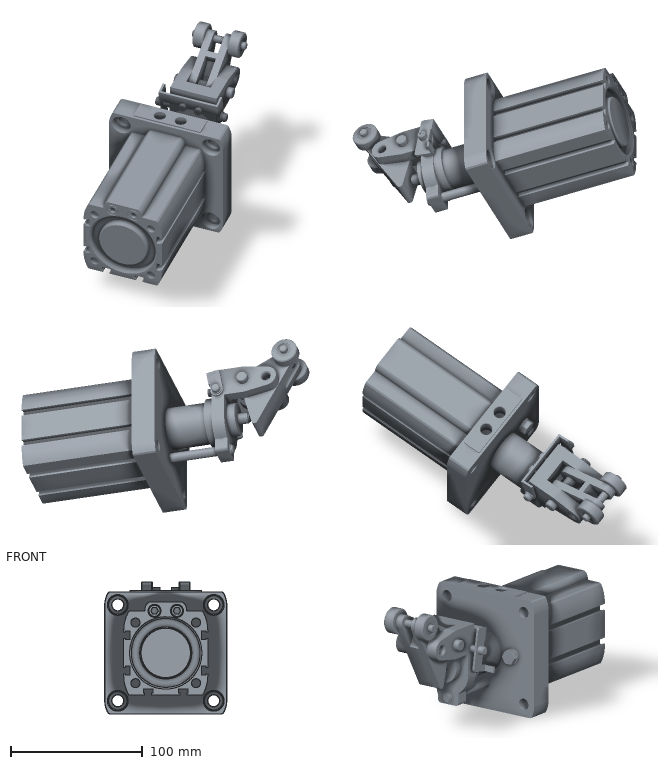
import cadquery as cq
import math


flange_half = 46.5
flange_thickness = 18.1
corner_edge_x = 42.6
corner_shoulder = (44.0, 45.5)
corner_arc_z = 36.9
corner_radius = 20.2
mount_pitch = 36.5
mount_hole_diameter = 9.0
mount_bore_diameter = 14.0
mount_bore_depth = 5.0
mount_bore_chamfer = 0.9
pad_half_width = 27.3
pad_height = 1.0
pad_edge = 2.0
port_x = 8.5
port_diameter = 9.0
port_depth = 12.8
port_chamfer = 0.5
drill_point_angle = 118

bolt_x = -26.0
bolt_washer_diameter = 12.0
bolt_washer_height = 1.7
bolt_across_flats = 10.0
bolt_head_height = 4.3

barrel_rear = -109.0
barrel_half = 32.0
barrel_arc_z = 17.0
barrel_corner_radius = 29.8
barrel_top_corner_x = 27.3
barrel_top_bevel = (28.5, 31.0)
barrel_bottom_corner_x = 28.1
hump_top = 38.8
hump_top_half = 12.4
hump_side_radius = 6.4
hump_base = (15.8, 32.8)
hump_foot_half = 16.6
hump_foot_radius = 0.9
slot_pitch = 13.5
slot_depth = 4.7
slot_lip = 1.5
side_slot_mouth = 5.0
side_slot_width = 6.5
bottom_slot_mouth = 5.5
bottom_slot_width = 7.2
tie_pitch = 23.0
tie_hole_diameter = 6.8
tie_hole_depth = 17.0
cover_radius = 26.2
cover_depth = 5.3
cover_chamfer = 1.3
cover_boss_base_radius = 19.8
cover_boss_radius = 19.5
cover_boss_chamfer = 0.9
plug_x = port_x
plug_z = 32.0
plug_diameter = 9.8
plug_head_diameter = 8.5
plug_groove_depth = 0.6
plug_socket_flats = 5.0
plug_socket_depth = 3.2

rod_radius = 16.0
collar_radius = 18.5
collar_start = 31.0
collar_end = 37.3
guide_z = -26.0
guide_radius = 3.6
guide_clip_radius = 4.0
guide_clip_end = 48.2
guide_tip_radius = 3.2
guide_tip_end = 49.5

fork_half_width = 19.0
fork_gap_half = 10.0
fork_back = 39.2
fork_gap_floor = 49.7
ear_radius = 11.3
ear_tip_radius = 8.0
ear_hole_y = 80.0
ear_hole_diameter = 6.8
ear_hole_chamfer = 0.9
block_front = 47.0
block_top = 26.6
block_arc_z = -5.0
foot_half_width = 9.5
foot_bottom = -31.5
foot_fillet = 2.5
foot_neck_fillet = 1.3
nose_radius = 12.5
nose_end = 53.5
stem_radius = 4.3
stem_end = 61.2
stem_tip_radius = 3.5
stem_tip_end = 62.5
knob_x = 6.4
knob_z = 23.0
knob_stem_radius = 1.3
knob_radius = 3.0
knob_head_start = 31.3
knob_head_end = 33.7

pivot = (62.0, 23.0)
axle = (94.2, 44.0)
lever_tip = (68.6, -9.8)
lever_half_width = fork_gap_half
axle_boss_radius = 6.0
hub_radius = 10.0
lever_tip_radius = 2.3
lever_waist_radius = 4.5
lever_slot_half = 4.3
lever_pin_diameter = 8.5
lever_pin_half_length = 23.7
axle_diameter = 6.0
axle_half_length = 21.7
pin_chamfer = 0.6
roller_radius = 10.0
roller_outer_x = 18.5
roller_chamfer = 0.6
roller_recess_radius = 6.0
roller_recess_depth = 0.5

bracket_pivot = (42.0, 15.1)
bracket_tilt = 10
sheet = 1.7
bracket_left = -26.5
bracket_right = 21.7
plate_front = 5.0
plate_back = -4.5
plate_top = 17.3
plate_bottom = -16.8
plate_corner = 2.0
web_outer = -5.3
web_bottom = 7.2
web_notch_width = 3.2
web_notch_depth = 5.1
tab_back = -10.7
tab_top = -12.1
tab_left = -34.5
screw_head_radius = 3.5
screw_head_chamfer = 0.9
screw_left_end = -31.3
screw_right_end = 26.2
screw_washer_radius = 4.0
screw_washer_thickness = 1.0
spacer_radius = 3.0
screw_cross_length = 4.0
screw_cross_width = 0.9
screw_cross_depth = 0.9


def box(x0, x1, y0, y1, z0, z1):
    return cq.Workplane("XY").box(x1 - x0, y1 - y0, z1 - z0, centered=False).translate((x0, y0, z0))


def cylinder_x(yz, radius, x0, x1):
    start = cq.Vector(x0, yz[0], yz[1])
    return cq.Workplane(cq.Solid.makeCylinder(radius, x1 - x0, start, cq.Vector(1, 0, 0)))


def cylinder_y(x, z, radius, y0, y1):
    start = cq.Vector(x, y0, z)
    return cq.Workplane(cq.Solid.makeCylinder(radius, y1 - y0, start, cq.Vector(0, 1, 0)))


def prism_x(outline, x0, x1):
    """Extrude a (y, z) polygon from x0 to x1."""
    return cq.Workplane("YZ", origin=(x0, 0, 0)).polyline(outline).close().extrude(x1 - x0)


def hexagon_y(x, z, across_flats, y0, y1):
    """A hexagonal prism along Y with two of its flats facing up and down."""
    across_corners = across_flats / math.cos(math.radians(30))
    plane = cq.Workplane("XZ", origin=(x, y0, z))
    return plane.polygon(6, across_corners).extrude(y0 - y1)


def belt(centre_a, radius_a, centre_b, radius_b, x0, x1):
    """A link along X: two circles in the YZ plane joined by their outer tangents."""
    dy = centre_b[0] - centre_a[0]
    dz = centre_b[1] - centre_a[1]
    axis = math.atan2(dz, dy)
    spread = math.acos((radius_a - radius_b) / math.hypot(dy, dz))

    def on_circle(centre, radius, angle):
        return (centre[0] + radius * math.cos(angle), centre[1] + radius * math.sin(angle))

    return (
        cq.Workplane("YZ", origin=(x0, 0, 0))
        .moveTo(*on_circle(centre_a, radius_a, axis + spread))
        .threePointArc(
            on_circle(centre_a, radius_a, axis + math.pi),
            on_circle(centre_a, radius_a, axis - spread),
        )
        .lineTo(*on_circle(centre_b, radius_b, axis - spread))
        .threePointArc(
            on_circle(centre_b, radius_b, axis),
            on_circle(centre_b, radius_b, axis + spread),
        )
        .close()
        .extrude(x1 - x0)
    )


def four_corners(pitch):
    return [(sx * pitch, sz * pitch) for sx in (-1, 1) for sz in (-1, 1)]


def flange_plate():
    shoulder_x, shoulder_z = corner_shoulder
    half_plate = (
        cq.Workplane("XZ")
        .moveTo(0, flange_half)
        .lineTo(corner_edge_x, flange_half)
        .lineTo(shoulder_x, shoulder_z)
        .radiusArc((flange_half, corner_arc_z), corner_radius)
        .lineTo(flange_half, -corner_arc_z)
        .radiusArc((shoulder_x, -shoulder_z), corner_radius)
        .lineTo(corner_edge_x, -flange_half)
        .lineTo(0, -flange_half)
        .close()
        .extrude(flange_thickness)
    )
    plate = half_plate.union(half_plate.mirror("YZ"))
    pad = box(
        -pad_half_width, pad_half_width,
        pad_edge - flange_thickness, -pad_edge,
        flange_half - pad_height, flange_half + pad_height,
    )
    return plate.union(pad)


def mounting_hole(x, z):
    bore_radius = mount_bore_diameter / 2
    hole = cylinder_y(x, z, mount_hole_diameter / 2, -flange_thickness, 0)
    bore = cylinder_y(x, z, bore_radius, -flange_thickness, mount_bore_depth - flange_thickness)
    mouth = cq.Workplane(
        cq.Solid.makeCone(
            bore_radius + mount_bore_chamfer, bore_radius, mount_bore_chamfer,
            cq.Vector(x, -flange_thickness, z), cq.Vector(0, 1, 0),
        )
    )
    return hole.union(bore).union(mouth)


def port(x):
    radius = port_diameter / 2
    top = flange_half + pad_height
    point = radius / math.tan(math.radians(drill_point_angle / 2))
    return (
        cq.Workplane("XZ")
        .polyline([
            (0, top),
            (radius + port_chamfer, top),
            (radius, top - port_chamfer),
            (radius, top - port_depth),
            (0, top - port_depth - point),
        ])
        .close()
        .revolve(360, (0, 0), (0, 1))
        .translate((x, -flange_thickness / 2, 0))
    )


def flange_bolt():
    washer = cylinder_y(bolt_x, 0, bolt_washer_diameter / 2, 0, bolt_washer_height)
    head_top = bolt_washer_height + bolt_head_height
    head = hexagon_y(bolt_x, 0, bolt_across_flats, bolt_washer_height, head_top)
    return washer.union(head)


def barrel_block():
    length = -barrel_rear - flange_thickness
    right_half = (
        cq.Workplane("XZ", origin=(0, -flange_thickness, 0))
        .moveTo(0, hump_top)
        .lineTo(hump_top_half, hump_top)
        .radiusArc(hump_base, hump_side_radius)
        .radiusArc((hump_foot_half, barrel_half), -hump_foot_radius)
        .lineTo(barrel_top_corner_x, barrel_half)
        .lineTo(*barrel_top_bevel)
        .radiusArc((barrel_half, barrel_arc_z), barrel_corner_radius)
        .lineTo(barrel_half, -barrel_arc_z)
        .radiusArc((barrel_bottom_corner_x, -barrel_half), barrel_corner_radius)
        .lineTo(0, -barrel_half)
        .close()
        .extrude(length)
    )
    return right_half.union(right_half.mirror("YZ"))


def barrel_slot(mouth, width, turn, offset):
    """A T-slot along the barrel, cut into the bottom face and then turned about the cylinder axis."""
    rear, front = barrel_rear, -flange_thickness
    lip_top = slot_lip - barrel_half
    slot = box(-mouth / 2, mouth / 2, rear, front, -barrel_half, lip_top)
    slot = slot.union(box(-width / 2, width / 2, rear, front, lip_top, slot_depth - barrel_half))
    return slot.translate((offset, 0, 0)).rotate((0, 0, 0), (0, 1, 0), turn)


def rear_cover_recess():
    """The ring-shaped recess in the rear end, around a boss that is flush with the end face."""
    step = barrel_rear + cover_depth
    return (
        cq.Workplane("XY")
        .polyline([
            (cover_boss_radius - cover_boss_chamfer, barrel_rear),
            (cover_radius + cover_chamfer, barrel_rear),
            (cover_radius, barrel_rear + cover_chamfer),
            (cover_radius, step),
            (cover_boss_base_radius, step),
            (cover_boss_radius, barrel_rear + cover_boss_chamfer),
        ])
        .close()
        .revolve(360, (0, 0), (0, 1))
    )


def plug_cut(x):
    """The ring groove around a plug head, and the hexagon socket in it."""
    groove_end = barrel_rear + plug_groove_depth
    groove = cylinder_y(x, plug_z, plug_diameter / 2, barrel_rear, groove_end)
    groove = groove.cut(cylinder_y(x, plug_z, plug_head_diameter / 2, barrel_rear, groove_end))
    socket_end = barrel_rear + plug_socket_depth
    return groove.union(hexagon_y(x, plug_z, plug_socket_flats, barrel_rear, socket_end))


def make_housing():
    housing = flange_plate().union(barrel_block()).union(flange_bolt())
    for x, z in four_corners(mount_pitch):
        housing = housing.cut(mounting_hole(x, z))
    for x, z in four_corners(tie_pitch):
        hole = cylinder_y(x, z, tie_hole_diameter / 2, barrel_rear, barrel_rear + tie_hole_depth)
        housing = housing.cut(hole)
    for offset in (-slot_pitch, slot_pitch):
        housing = housing.cut(barrel_slot(bottom_slot_mouth, bottom_slot_width, 0, offset))
        for turn in (-90, 90):
            housing = housing.cut(barrel_slot(side_slot_mouth, side_slot_width, turn, offset))
    housing = housing.cut(rear_cover_recess())
    for side in (-1, 1):
        housing = housing.cut(port(side * port_x)).cut(plug_cut(side * plug_x))
    housing = housing.cut(cylinder_y(0, 0, rod_radius, -flange_thickness, 0))
    return housing.cut(cylinder_y(0, guide_z, guide_radius, -flange_thickness, 0))


def fork():
    centre_z = pivot[1]
    ear = belt(pivot, ear_radius, (ear_hole_y, centre_z), ear_tip_radius, -fork_half_width, fork_half_width)
    body = ear.union(
        box(
            -fork_half_width, fork_half_width, fork_back, pivot[0],
            centre_z - ear_radius, centre_z + ear_radius,
        )
    )
    gap_end = ear_hole_y + ear_tip_radius
    gap = box(
        -fork_gap_half, fork_gap_half, fork_gap_floor, gap_end,
        centre_z - ear_radius, centre_z + ear_radius,
    )
    hole = cylinder_x((ear_hole_y, centre_z), ear_hole_diameter / 2, -fork_half_width, fork_half_width)
    pin_hole = cylinder_x(pivot, lever_pin_diameter / 2, -fork_half_width, fork_half_width)
    body = body.cut(gap)
    for side in (-1, 1):
        mouth = cq.Solid.makeCone(
            ear_hole_diameter / 2 + ear_hole_chamfer, ear_hole_diameter / 2, ear_hole_chamfer,
            cq.Vector(side * fork_half_width, ear_hole_y, centre_z), cq.Vector(-side, 0, 0),
        )
        body = body.cut(cq.Workplane(mouth))
    return body.cut(hole).cut(pin_hole)


def fork_block():
    """The cross plate behind the fork, with a round bottom and a foot for the guide rod."""
    plate = box(-fork_half_width, fork_half_width, collar_end, block_front, block_arc_z, block_top)
    plate = plate.union(cylinder_y(0, block_arc_z, fork_half_width, collar_end, block_front))
    foot = box(-foot_half_width, foot_half_width, collar_end, block_front, foot_bottom, block_arc_z)
    block = plate.union(foot.edges("|Y and <Z").fillet(foot_fillet))
    neck_z = block_arc_z - math.sqrt(fork_half_width ** 2 - foot_half_width ** 2)
    mid_y = (collar_end + block_front) / 2
    for x in (-foot_half_width, foot_half_width):
        block = block.edges(cq.NearestToPointSelector((x, mid_y, neck_z))).fillet(foot_neck_fillet)
    return block


def make_rod_unit():
    unit = cylinder_y(0, 0, rod_radius, -flange_thickness, collar_end)
    unit = unit.union(cylinder_y(0, 0, collar_radius, collar_start, collar_end))
    unit = unit.union(fork_block()).union(fork())
    unit = unit.union(cylinder_y(0, 0, nose_radius, block_front, nose_end))
    unit = unit.union(cylinder_y(0, 0, stem_radius, nose_end, stem_end))
    unit = unit.union(cylinder_y(0, 0, stem_tip_radius, stem_end, stem_tip_end))
    unit = unit.union(cylinder_y(0, guide_z, guide_radius, -flange_thickness, block_front))
    unit = unit.union(cylinder_y(0, guide_z, guide_clip_radius, block_front, guide_clip_end))
    unit = unit.union(cylinder_y(0, guide_z, guide_tip_radius, guide_clip_end, guide_tip_end))
    for x in (-knob_x, knob_x):
        unit = unit.union(cylinder_y(x, knob_z, knob_stem_radius, knob_head_end, collar_end))
        unit = unit.union(cylinder_y(x, knob_z, knob_radius, knob_head_start, knob_head_end))
    return unit


front_slot = [(90.0, 23.9), (79.5, 43.0), (85.2, 55.5), (106.5, 55.5), (106.5, 23.9)]
rear_slot = [(73.3, 45.0), (79.7, 33.2), (72.2, 24.7), (65.5, 10.7), (51.1, 10.7), (51.1, 45.0)]


def make_lever():
    x0, x1 = -lever_half_width, lever_half_width
    lever = belt(axle, axle_boss_radius, lever_tip, lever_tip_radius, x0, x1)
    lever = lever.union(belt(axle, axle_boss_radius, pivot, hub_radius, x0, x1))
    lever = lever.union(belt(pivot, lever_waist_radius, lever_tip, lever_tip_radius, x0, x1))
    lever = lever.union(prism_x([axle, pivot, lever_tip], x0, x1))
    for outline in (front_slot, rear_slot):
        lever = lever.cut(prism_x(outline, -lever_slot_half, lever_slot_half))
    lever = lever.cut(cylinder_x(pivot, lever_pin_diameter / 2, x0, x1))
    return lever.cut(cylinder_x(axle, axle_diameter / 2, x0, x1))


def make_pin(yz, diameter, half_length):
    return cylinder_x(yz, diameter / 2, -half_length, half_length).edges().chamfer(pin_chamfer)


def make_roller(side):
    """A roller on the axle, on the -X side or the +X side of the lever."""
    wheel = cylinder_x(axle, roller_radius, lever_half_width, roller_outer_x)
    wheel = wheel.edges().chamfer(roller_chamfer)
    recess_start = roller_outer_x - roller_recess_depth
    wheel = wheel.cut(cylinder_x(axle, roller_recess_radius, recess_start, roller_outer_x))
    wheel = wheel.cut(cylinder_x(axle, axle_diameter / 2, lever_half_width, roller_outer_x))
    return wheel if side > 0 else wheel.mirror("YZ")


def left_plate():
    x1 = bracket_left + sheet
    plate = box(bracket_left, x1, plate_back, plate_front, plate_bottom, plate_top)
    plate = plate.edges("|X and >Y").fillet(plate_corner)
    leg = box(bracket_left, x1, tab_back, plate_back, plate_bottom, tab_top)
    tab = box(tab_left, x1, tab_back, tab_back + sheet, plate_bottom, tab_top)
    return plate.union(leg).union(tab)


def right_plate():
    """The short side plate, rounded about the pivot."""
    x0 = bracket_right - sheet
    plate = box(x0, bracket_right, plate_back, plate_front, 0, plate_top)
    return plate.union(cylinder_x((0, 0), plate_front, x0, bracket_right))


def web():
    """The back web between the side plates, notched for the two knob stems."""
    back = box(bracket_left, bracket_right, web_outer, web_outer + sheet, web_bottom, plate_top)
    for x0, x1 in ((bracket_left, bracket_left + sheet), (bracket_right - sheet, bracket_right)):
        back = back.union(box(x0, x1, web_outer, plate_front, web_bottom, plate_top - plate_corner))
    for x in (-knob_x, knob_x):
        half = web_notch_width / 2
        notch_top = web_bottom + web_notch_depth
        back = back.cut(box(x - half, x + half, web_outer, web_outer + sheet, web_bottom, notch_top))
    return back


def pivot_screws():
    washer_end = bracket_right + screw_washer_thickness
    spacer_left = cylinder_x((0, 0), spacer_radius, bracket_left, -fork_half_width)
    head_left = cylinder_x((0, 0), screw_head_radius, screw_left_end, bracket_left)
    head_left = head_left.faces("<X").chamfer(screw_head_chamfer)
    spacer_right = cylinder_x((0, 0), spacer_radius, fork_half_width, bracket_right)
    washer_right = cylinder_x((0, 0), screw_washer_radius, bracket_right, washer_end)
    head_right = cylinder_x((0, 0), screw_head_radius, washer_end, screw_right_end)
    head_right = head_right.faces(">X").chamfer(screw_head_chamfer)
    screws = spacer_left.union(head_left).union(spacer_right).union(washer_right).union(head_right)
    long, short = screw_cross_length / 2, screw_cross_width / 2
    for half_y, half_z in ((long, short), (short, long)):
        cross_end = screw_left_end + screw_cross_depth
        screws = screws.cut(box(screw_left_end, cross_end, -half_y, half_y, -half_z, half_z))
    return screws


def make_bracket():
    bracket = left_plate().union(right_plate()).union(web()).union(pivot_screws())
    bracket = bracket.rotate((0, 0, 0), (1, 0, 0), bracket_tilt)
    return bracket.translate((0, bracket_pivot[0], bracket_pivot[1]))


housing = make_housing()
rod_unit = make_rod_unit()
lever = make_lever()
lever_pin = make_pin(pivot, lever_pin_diameter, lever_pin_half_length)
axle_pin = make_pin(axle, axle_diameter, axle_half_length)
rollers = [make_roller(side) for side in (-1, 1)]
bracket = make_bracket()

result = cq.Compound.makeCompound([
    housing.solids().val(),
    rod_unit.solids().val(),
    lever.solids().val(),
    lever_pin.solids().val(),
    axle_pin.solids().val(),
    *[roller.solids().val() for roller in rollers],
    bracket.solids().val(),
])